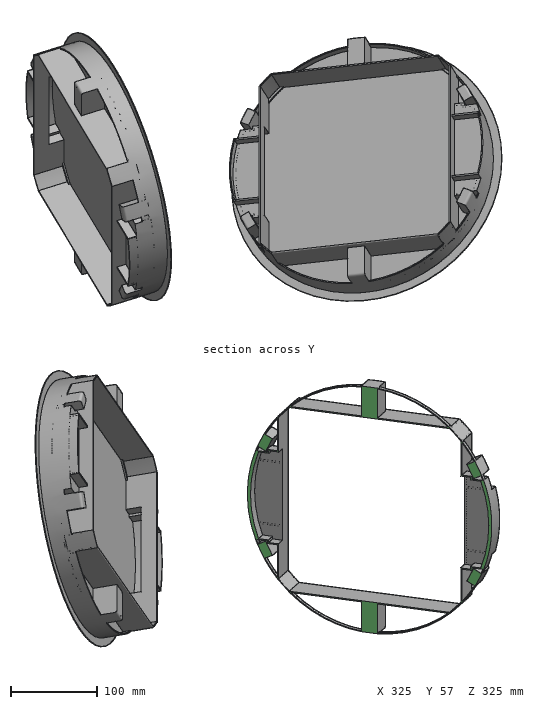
import cadquery as cq
import math


flange_radius = 162.5
flange_front = 3.0
flange_edge_thickness = 1.0
flange_back_radius = 154.0
shell_radius = 152.5
shell_wall = 1.5
shell_inner_radius = shell_radius - shell_wall
shell_height = 30.3

floor_height = 21.0
floor_thickness = 2.0
floor_underside = floor_height - floor_thickness
floor_opening_radius = 148.0

frame_size = 230.6
frame_wall = 2.0
frame_inner_size = frame_size - 2 * frame_wall
frame_height = 57.0
frame_edge_round = 0.9

recess_top = 39.5
recess_skin = 1.5
recess_half_width = 58.5
recess_wall = 2.0
recess_inner_half_width = recess_half_width - recess_wall
recess_shell_half_width = 55.3
recess_shoulder_x = 127.5
grip_half_width = 40.0
grip_rib = 2.0

tab_height = 50.5
tab_round = 3.0
main_tab_width = 20.6
side_tab_width = 18.9
side_tab_inner_radius = 140.3
side_tab_angle = 27.0
main_tab_angles = (90, 270)
side_tab_angles = (
    side_tab_angle,
    180 - side_tab_angle,
    180 + side_tab_angle,
    360 - side_tab_angle,
)


def disc(radius, start, end):
    """Round plate on the part axis between two heights."""
    return cq.Workplane("XZ", origin=(0, -start, 0)).circle(radius).extrude(end - start)


def block(x_min, x_max, z_min, z_max, start, end):
    """Rectangular block between two heights."""
    size = (x_max - x_min, end - start, z_max - z_min)
    center = ((x_min + x_max) / 2, -(start + end) / 2, (z_min + z_max) / 2)
    return cq.Workplane("XY").box(*size).translate(center)


def square(size, start, end):
    """Square block centred on the part axis between two heights."""
    half = size / 2
    return block(-half, half, -half, half, start, end)


def mirrored(side):
    """A +X side feature together with its -X twin."""
    return side.union(side.mirror("YZ"))


def make_flange():
    """Flat-fronted flange that tapers toward its edge at the back."""
    return (
        cq.Workplane("XY")
        .moveTo(0, 0)
        .lineTo(flange_back_radius, 0)
        .lineTo(flange_radius, -(flange_front - flange_edge_thickness))
        .lineTo(flange_radius, -flange_front)
        .lineTo(0, -flange_front)
        .close()
        .revolve(360, (0, 0, 0), (0, 1, 0))
    )


def make_base():
    """Oversize round wall above the floor; trimming gives it the shell radius."""
    base = disc(flange_radius, 0, shell_height)
    return base.cut(disc(shell_inner_radius, floor_height, shell_height))


def make_frame():
    """Square wall with solid corners; trimming gives the corners the shell radius."""
    frame = square(frame_size, 0, frame_height)
    inner = square(frame_inner_size, floor_underside, frame_height)
    return frame.cut(inner.intersect(disc(shell_inner_radius, floor_underside, frame_height)))


def make_recess():
    """Stepped cover of the +X finger recess with a raised grip in front of it."""
    inner_x = (frame_size - frame_wall) / 2
    cover = block(inner_x, recess_shoulder_x, -recess_half_width, recess_half_width,
                  floor_underside, recess_top)
    cover = cover.union(block(inner_x, flange_radius, -recess_shell_half_width, recess_shell_half_width,
                              floor_underside, recess_top))
    grip = block(inner_x, flange_radius, -grip_half_width, grip_half_width, floor_underside, tab_height)

    grip_inner_half_width = grip_half_width - grip_rib
    grip_pocket = block(frame_size / 2, flange_radius, -grip_inner_half_width, grip_inner_half_width,
                        recess_top, tab_height)
    grip_pocket = grip_pocket.intersect(disc(shell_inner_radius, recess_top, tab_height))
    return cover.union(grip).cut(grip_pocket)


def make_recess_cavity():
    """Hollow under the +X recess cover, open to the inside of the square frame."""
    cavity_top = recess_top - recess_skin
    shell_half_width = recess_shell_half_width - recess_wall
    inner_x = frame_inner_size / 2 - frame_wall
    cavity = block(inner_x, recess_shoulder_x - recess_wall, -recess_inner_half_width,
                   recess_inner_half_width, floor_underside, cavity_top)
    cavity = cavity.union(block(inner_x, flange_radius, -shell_half_width, shell_half_width,
                                floor_underside, cavity_top))
    return cavity.intersect(disc(floor_opening_radius, floor_underside, cavity_top))


def make_tab(inner_radius, width, angle):
    """Oversize radial tab, turned by an angle from +X toward +Z."""
    tab = block(inner_radius, flange_radius, -width / 2, width / 2, floor_underside, tab_height)
    return tab.rotate((0, 0, 0), (0, 1, 0), -angle)


def round_edge(body, distance, height, angle, radius):
    """Round the edge centred at a height and at a distance from the part axis."""
    turn = math.radians(angle)
    edge_center = (distance * math.cos(turn), -height, distance * math.sin(turn))
    return body.edges(cq.selectors.NearestToPointSelector(edge_center)).fillet(radius)


def make_housing():
    """Flanged shell with its square frame, finger recesses and tabs."""
    housing = make_base().union(make_frame())
    housing = housing.union(mirrored(make_recess()))
    for angle in main_tab_angles:
        housing = housing.union(make_tab((frame_size - frame_wall) / 2, main_tab_width, angle))
    for angle in side_tab_angles:
        housing = housing.union(make_tab(side_tab_inner_radius, side_tab_width, angle))

    housing = housing.intersect(disc(shell_radius, 0, frame_height))
    for angle in main_tab_angles + side_tab_angles:
        housing = round_edge(housing, shell_radius, tab_height, angle, tab_round)
    for angle in main_tab_angles:
        housing = round_edge(housing, frame_size / 2, frame_height, angle, frame_edge_round)
    housing = housing.union(make_flange())

    housing = housing.cut(disc(shell_inner_radius, 0, floor_underside))
    floor_opening = square(frame_inner_size, floor_underside, floor_height)
    floor_opening = floor_opening.intersect(disc(floor_opening_radius, floor_underside, floor_height))
    return housing.cut(floor_opening).cut(mirrored(make_recess_cavity()))


def make_lid():
    """Round lid that fills the back of the shell up to the floor."""
    return disc(shell_inner_radius, 0, floor_underside)


housing = make_housing()
lid = make_lid()
result = cq.Compound.makeCompound([housing.solids().val(), lid.val()])